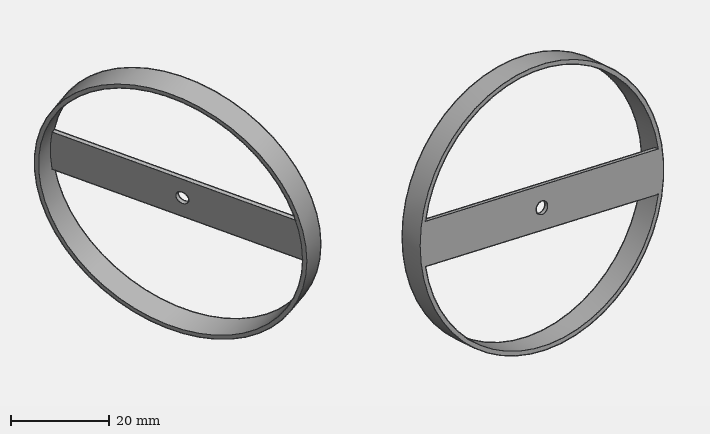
import cadquery as cq

ring_diameter = 63.5
ring_width = 6.0
wall = 1.0

bar_height = 10.05
bar_thickness = 1.0
hole_diameter = 3.0

inner_diameter = ring_diameter - 2 * wall
back_face = ring_width / 2


def disc(diameter, width):
    """Cylinder along Y that ends at the ring's +Y face."""
    return cq.Workplane("XZ", origin=(0, back_face, 0)).circle(diameter / 2).extrude(width)


def make_ring():
    return disc(ring_diameter, ring_width).cut(disc(inner_diameter, ring_width))


def make_crossbar():
    bar = cq.Workplane("XZ", origin=(0, back_face, 0)).rect(ring_diameter, bar_height).extrude(bar_thickness)
    bar = bar.intersect(disc(ring_diameter - wall, bar_thickness))
    return bar.cut(disc(hole_diameter, bar_thickness))


result = make_ring().union(make_crossbar())